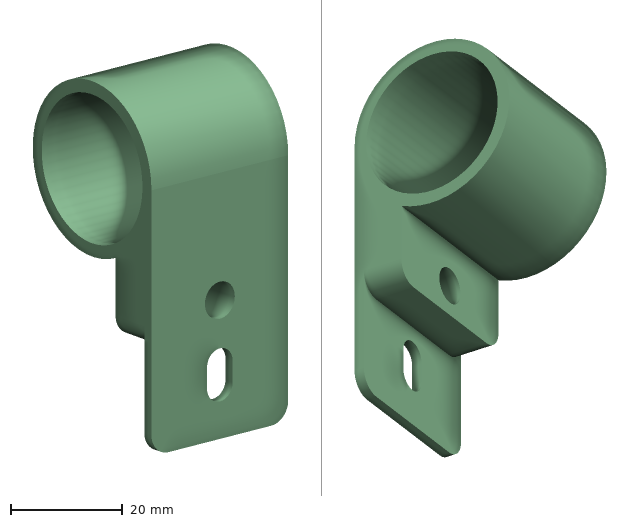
import cadquery as cq

total_height = 66.5
width = 32.0
tube_diameter = 33.0
bore_diameter = 28.0

plate_thickness = 2.0
block_thickness = 10.0
block_bottom_height = 20.0
corner_radius = 4.0

hole_diameter = 7.0
hole_height = 26.05
slot_width = 6.0
slot_length = 10.0
slot_height = 12.05

tube_radius = tube_diameter / 2
plate_bottom = tube_radius - total_height


def rounded_slab(thickness, bottom):
    """Slab flush with the +X side of the tube, from bottom up to the tube axis."""
    return (
        cq.Workplane("XY")
        .box(thickness, width, -bottom, centered=(False, True, False))
        .translate((tube_radius - thickness, 0, bottom))
        .edges("|X and <Z")
        .fillet(corner_radius)
    )


def side_plane(height):
    """Plane facing +X, centred across the width at a height above the plate edge."""
    return cq.Workplane("YZ", origin=(0, 0, plate_bottom + height))


def cylinder_across(diameter):
    """Cylinder on the tube axis, spanning the full width."""
    return cq.Workplane("XZ", origin=(0, width / 2, 0)).circle(diameter / 2).extrude(width)


tube = cylinder_across(tube_diameter)
bore = cylinder_across(bore_diameter)

plate = rounded_slab(plate_thickness, plate_bottom)
block = rounded_slab(block_thickness, plate_bottom + block_bottom_height)

hole = side_plane(hole_height).circle(hole_diameter / 2).extrude(tube_radius)
slot = side_plane(slot_height).slot2D(slot_length, slot_width, 90).extrude(tube_radius)

bracket = plate.union(block).union(tube).clean()
result = bracket.cut(bore).cut(hole).cut(slot)